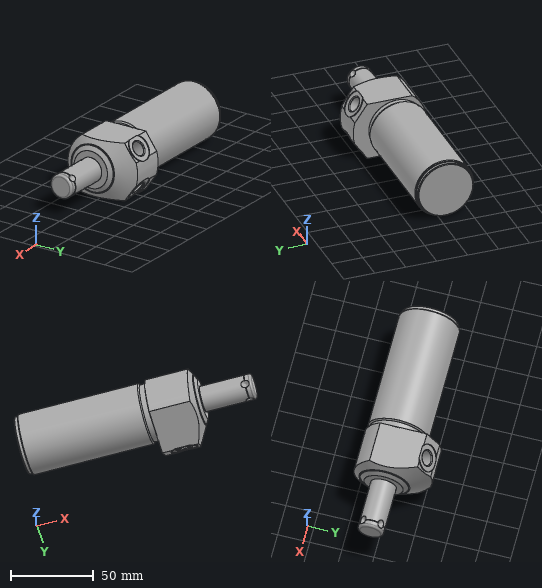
import cadquery as cq
import math

OVERALL_LENGTH = 145.6
BARREL_START = 2.4
BARREL_END = 78.6
HEAD_START = 82.4
HEAD_END = 113.5

BARREL_RADIUS = 18.925
END_CAP_RADIUS = 17.9
END_CAP_CHAMFER = 0.5
BARREL_CHAMFER = 0.5
NECK_RADIUS = END_CAP_RADIUS
NECK_TAPER_LENGTH = 0.8

FLAT_HEIGHT = BARREL_RADIUS
PORT_SIDE_RADIUS = 28.0
PLAIN_SIDE_REACH = 19.62
PLAIN_SIDE_RADIUS = 23.6
FACET_START_Y = 19.0
FACET_END_Y = 26.95
FACET_END_Z = math.sqrt(PORT_SIDE_RADIUS**2 - FACET_END_Y**2)

NOSE_FACE_RADIUS = 12.2
NOSE_HALF_ANGLE = 60.0
NOSE_GROOVE_X = 111.6
NOSE_GROOVE_WIDTH = 0.4

PORT_X = 95.2
PORT_DIAMETER = 9.1
PORT_CHAMFER = 0.6
PORT_DEPTH = 12.0
SPOTFACE_DIAMETER = 16.8
SPOTFACE_DEPTH = 0.5
CUT_CLEARANCE = 2.0

ROD_RADIUS = 8.0
ROD_END_FILLET = 1.5
ROD_GROOVE_X = 141.4
ROD_GROOVE_WIDTH = 0.4
ROD_GROOVE_DEPTH = 0.2
DIMPLE_COUNT = 4
DIMPLE_DIAMETER = 5.2
DIMPLE_DEPTH = DIMPLE_DIAMETER / 2


def revolve_about_x(profile):
    """Turn an (x, radius) profile about the X axis."""
    outline = [(x, -radius) for x, radius in profile]
    return cq.Workplane("XY").polyline(outline).close().revolve(360, (0, 0, 0), (1, 0, 0))


def make_barrel():
    """Barrel with its chamfered end cap and the neck."""
    return revolve_about_x([
        (0, 0),
        (0, END_CAP_RADIUS - END_CAP_CHAMFER),
        (END_CAP_CHAMFER, END_CAP_RADIUS),
        (BARREL_START, END_CAP_RADIUS),
        (BARREL_START, BARREL_RADIUS - BARREL_CHAMFER),
        (BARREL_START + BARREL_CHAMFER, BARREL_RADIUS),
        (BARREL_END - NECK_TAPER_LENGTH, BARREL_RADIUS),
        (BARREL_END, NECK_RADIUS),
        (HEAD_START, NECK_RADIUS),
        (HEAD_START, 0),
    ])


def make_head():
    """Flat-sided head, turned to a cone at the rod end, with a fine groove around the cone."""
    plain_arc_center_y = PLAIN_SIDE_RADIUS - PLAIN_SIDE_REACH
    flat_end_y = plain_arc_center_y - math.sqrt(PLAIN_SIDE_RADIUS**2 - FLAT_HEIGHT**2)
    block = (
        cq.Workplane("YZ", origin=(HEAD_START, 0, 0))
        .moveTo(flat_end_y, FLAT_HEIGHT)
        .lineTo(FACET_START_Y, FLAT_HEIGHT)
        .lineTo(FACET_END_Y, FACET_END_Z)
        .threePointArc((PORT_SIDE_RADIUS, 0), (FACET_END_Y, -FACET_END_Z))
        .lineTo(FACET_START_Y, -FLAT_HEIGHT)
        .lineTo(flat_end_y, -FLAT_HEIGHT)
        .threePointArc((-PLAIN_SIDE_REACH, 0), (flat_end_y, FLAT_HEIGHT))
        .close()
        .extrude(HEAD_END - HEAD_START)
    )
    nose_slope = math.tan(math.radians(NOSE_HALF_ANGLE))
    envelope_start_radius = NOSE_FACE_RADIUS + (HEAD_END - HEAD_START) * nose_slope
    nose_envelope = revolve_about_x([
        (HEAD_START, 0),
        (HEAD_START, envelope_start_radius),
        (HEAD_END, NOSE_FACE_RADIUS),
        (HEAD_END, 0),
    ])
    groove_radius = NOSE_FACE_RADIUS + (HEAD_END - NOSE_GROOVE_X) * nose_slope
    half_width = NOSE_GROOVE_WIDTH / 2
    nose_groove = revolve_about_x([
        (NOSE_GROOVE_X - half_width, groove_radius + half_width * nose_slope),
        (NOSE_GROOVE_X + half_width, groove_radius - half_width * nose_slope),
        (NOSE_GROOVE_X - half_width, groove_radius - half_width * nose_slope),
    ])
    return block.intersect(nose_envelope).cut(nose_groove)


def make_port(side):
    """Port tool for the facet above (side = 1) or below (side = -1) the axis."""
    run = FACET_END_Y - FACET_START_Y
    rise = FLAT_HEIGHT - FACET_END_Z
    middle_y = (FACET_START_Y + FACET_END_Y) / 2
    middle_z = side * (FLAT_HEIGHT + FACET_END_Z) / 2
    middle = cq.Vector(PORT_X, middle_y, middle_z)
    outward = cq.Vector(0, rise, side * run)
    facet = cq.Workplane(cq.Plane(middle, (1, 0, 0), outward))
    spotface = (
        facet.workplane(offset=-SPOTFACE_DEPTH)
        .circle(SPOTFACE_DIAMETER / 2)
        .extrude(SPOTFACE_DEPTH + CUT_CLEARANCE)
    )
    bore = facet.circle(PORT_DIAMETER / 2).extrude(-PORT_DEPTH)
    rim = (
        facet.workplane(offset=-SPOTFACE_DEPTH)
        .circle(PORT_DIAMETER / 2 + PORT_CHAMFER)
        .workplane(offset=-PORT_CHAMFER)
        .circle(PORT_DIAMETER / 2)
        .loft()
    )
    return spotface.union(bore).union(rim)


def make_rod():
    """Rod with a rounded end, a V groove and conical dimples spaced around the groove."""
    half_width = ROD_GROOVE_WIDTH / 2
    rod = revolve_about_x([
        (HEAD_START, 0),
        (HEAD_START, ROD_RADIUS),
        (ROD_GROOVE_X - half_width, ROD_RADIUS),
        (ROD_GROOVE_X, ROD_RADIUS - ROD_GROOVE_DEPTH),
        (ROD_GROOVE_X + half_width, ROD_RADIUS),
        (OVERALL_LENGTH, ROD_RADIUS),
        (OVERALL_LENGTH, 0),
    ])
    rod = rod.faces(">X").edges().fillet(ROD_END_FILLET)
    dimple = (
        cq.Workplane("XY", origin=(ROD_GROOVE_X, 0, 0))
        .moveTo(0, ROD_RADIUS - DIMPLE_DEPTH)
        .lineTo(DIMPLE_DIAMETER, ROD_RADIUS + DIMPLE_DEPTH)
        .lineTo(0, ROD_RADIUS + DIMPLE_DEPTH)
        .close()
        .revolve(360, (0, 0, 0), (0, 1, 0))
    )
    pitch = 360 / DIMPLE_COUNT
    for index in range(DIMPLE_COUNT):
        rod = rod.cut(dimple.rotate((0, 0, 0), (1, 0, 0), (index + 0.5) * pitch))
    return rod


head = make_head()
for side in (1, -1):
    head = head.cut(make_port(side))

result = make_barrel().union(head).union(make_rod())